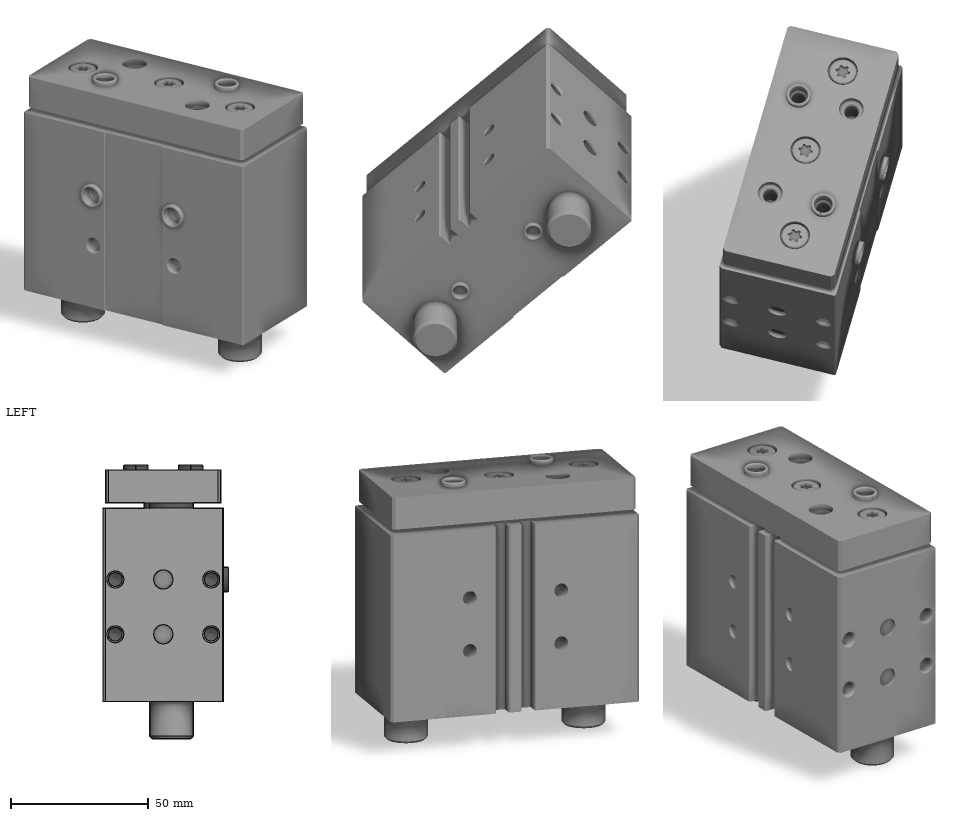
import cadquery as cq
import math

total_height = 99.8
sleeve_stand = 1.8
plate_thickness = 12.0
plate_gap = 2.0
housing_height = 70.5
plate_top = total_height - sleeve_stand
plate_bottom = plate_top - plate_thickness
housing_top = plate_bottom - plate_gap
housing_bottom = housing_top - housing_height

housing_width = 95.0
housing_depth = 44.0
front_face = -housing_depth / 2
back_face = housing_depth / 2
left_face = -housing_width / 2
front_corner = 0.5
back_corner = 1.0
front_recess_width = 24.6
front_recess_depth = 0.4
back_slot_width = 4.9
back_rib_width = 5.0
back_slot_depth = 5.0
slot_lip = 0.5

upper_row = housing_top - 25.9
row_pitch = 20.0
lower_row = upper_row - row_pitch
mount_x = 17.5
side_hole_y = 17.5
bottom_sleeve_x = 18.5
thread_diameter = 5.2
thread_mouth = 6.2
side_thread_diameter = 5.0
side_thread_depth = 12.0
drill_point_angle = 118.0
locating_diameter = 7.0
locating_depth = 1.6

plate_width = 93.0
plate_depth = 41.9
plate_corner = 1.0
guide_x = 33.9
guide_y = -3.0
guide_diameter = 16.0
guide_chamfer = 1.0
piston_y = 2.0
piston_diameter = 10.0
piston_flats = 9.0
piston_insertion = 10.0
guide_points = [(-guide_x, guide_y), (guide_x, guide_y)]
piston_point = (0, piston_y)

screw_bore = 11.0
screw_head = 9.8
screw_ring_depth = 2.0
screw_sink = 0.4
screw_head_chamfer = 0.4
socket_core = 4.0
socket_lobe = 1.2
socket_reach = 5.4
socket_depth = 1.5

sleeve_diameter = 9.0
sleeve_bore = 6.6
sleeve_seat = 2.1
small_sleeve_diameter = 7.0
small_sleeve_bore = 5.2
small_sleeve_stand = 1.5
small_sleeve_seat = locating_depth
sleeve_slit = 0.2
plate_hole_x = 20.0
plate_hole_y = 10.0
plate_holes = [(x, y) for x in (-plate_hole_x, plate_hole_x) for y in (-plate_hole_y, plate_hole_y)]
plate_sleeve_points = [(-plate_hole_x, -plate_hole_y), (plate_hole_x, plate_hole_y)]


def rod(diameter, length, base, direction):
    """Cylinder from a base point along a direction."""
    return cq.Workplane(cq.Solid.makeCylinder(diameter / 2, length, cq.Vector(*base), cq.Vector(*direction)))


def mouth(wide, narrow, base, direction):
    """45 degree countersink cutter that narrows along a direction."""
    depth = (wide - narrow) / 2
    return cq.Workplane(
        cq.Solid.makeCone(wide / 2, narrow / 2, depth, cq.Vector(*base), cq.Vector(*direction))
    )


def make_block():
    """Housing block with its vertical corners, front recess and two back slots."""
    block = cq.Workplane().box(housing_width, housing_depth, housing_height, centered=(True, True, False))
    block = block.edges("|Z and <Y").chamfer(front_corner)
    block = block.edges("|Z and >Y").chamfer(back_corner)
    half_recess = front_recess_width / 2
    recess = cq.Workplane().polyline([
        (-half_recess - front_recess_depth, front_face),
        (half_recess + front_recess_depth, front_face),
        (half_recess, front_face + front_recess_depth),
        (-half_recess, front_face + front_recess_depth),
    ]).close().extrude(housing_height)
    block = block.cut(recess)
    for side in (-1, 1):
        inner = back_rib_width / 2
        outer = inner + back_slot_width
        slot = cq.Workplane().polyline([
            (side * (inner - slot_lip), back_face),
            (side * inner, back_face - slot_lip),
            (side * inner, back_face - back_slot_depth),
            (side * outer, back_face - back_slot_depth),
            (side * outer, back_face - slot_lip),
            (side * (outer + slot_lip), back_face),
        ]).close().extrude(housing_height)
        block = block.cut(slot)
    return block.translate((0, 0, housing_bottom))


def front_holes():
    """Through holes from front to back; the upper pair also seats the front sleeves."""
    cutter = cq.Workplane()
    seat_floor = front_face + sleeve_seat
    for x in (-mount_x, mount_x):
        for z in (upper_row, lower_row):
            cutter = cutter.add(rod(thread_diameter, housing_depth, (x, front_face, z), (0, 1, 0)))
        cutter = cutter.add(rod(sleeve_diameter, sleeve_seat, (x, front_face, upper_row), (0, 1, 0)))
        cutter = cutter.add(mouth(thread_mouth, thread_diameter, (x, seat_floor, upper_row), (0, 1, 0)))
        cutter = cutter.add(mouth(thread_mouth, thread_diameter, (x, front_face, lower_row), (0, 1, 0)))
    return cutter


def side_holes():
    """Blind threaded holes and shallow locating holes in the left side."""
    cutter = cq.Workplane()
    inward = (1, 0, 0)
    point_length = side_thread_diameter / 2 / math.tan(math.radians(drill_point_angle / 2))
    drill_end = left_face + side_thread_depth
    for z in (upper_row, lower_row):
        for y in (-side_hole_y, side_hole_y):
            cutter = cutter.add(rod(side_thread_diameter, side_thread_depth, (left_face, y, z), inward))
            cutter = cutter.add(mouth(thread_mouth, side_thread_diameter, (left_face, y, z), inward))
            tip = cq.Solid.makeCone(
                side_thread_diameter / 2, 0, point_length, cq.Vector(drill_end, y, z), cq.Vector(*inward)
            )
            cutter = cutter.add(tip)
        cutter = cutter.add(rod(locating_diameter, locating_depth, (left_face, 0, z), inward))
    return cutter


def make_rods():
    """Two guide rods chamfered at the bottom and the piston rod with its wrench flats."""
    rods = cq.Workplane()
    for x, y in guide_points:
        guide = rod(guide_diameter, plate_bottom, (x, y, 0), (0, 0, 1)).faces("<Z").chamfer(guide_chamfer)
        rods = rods.add(guide)
    neck = rod(piston_diameter, plate_gap, (*piston_point, housing_top), (0, 0, 1))
    flats = cq.Workplane().box(piston_flats, piston_diameter, plate_gap, centered=(True, True, False))
    neck = neck.intersect(flats.translate((*piston_point, housing_top)))
    shank = rod(piston_diameter, piston_insertion, (*piston_point, housing_top - piston_insertion), (0, 0, 1))
    return rods.add(shank.union(neck))


def make_screw_recess():
    """Cutter that leaves a sunk screw head with a six-lobed socket, below a plate face at z = 0."""
    head_height = screw_ring_depth - screw_sink
    head = rod(screw_head, head_height, (0, 0, -screw_ring_depth), (0, 0, 1))
    head = head.faces(">Z").chamfer(screw_head_chamfer)
    recess = rod(screw_bore, screw_ring_depth, (0, 0, -screw_ring_depth), (0, 0, 1)).cut(head)
    socket_floor = -screw_sink - socket_depth
    socket = rod(socket_core, socket_depth, (0, 0, socket_floor), (0, 0, 1))
    lobe_radius = (socket_reach - socket_lobe) / 2
    for lobe in range(6):
        angle = math.radians(90 + 60 * lobe)
        base = (lobe_radius * math.cos(angle), lobe_radius * math.sin(angle), socket_floor)
        socket = socket.union(rod(socket_lobe, socket_depth, base, (0, 0, 1)))
    return recess.union(socket)


def make_yoke():
    """Moving yoke: plate with sleeve seats and screws, carrying the rods."""
    plate = cq.Workplane().box(plate_width, plate_depth, plate_thickness, centered=(True, True, False))
    plate = plate.edges("|Z").chamfer(plate_corner).translate((0, 0, plate_bottom))
    down = (0, 0, -1)
    for x, y in plate_holes:
        seat_floor = plate_top - sleeve_seat
        plate = plate.cut(rod(sleeve_diameter, sleeve_seat, (x, y, plate_top), down))
        plate = plate.cut(mouth(thread_mouth, thread_diameter, (x, y, seat_floor), down))
        plate = plate.cut(rod(thread_diameter, plate_thickness, (x, y, plate_top), down))
    screw_recess = make_screw_recess()
    for point in [*guide_points, piston_point]:
        plate = plate.cut(screw_recess.translate((*point, plate_top)))
    for part in make_rods().vals():
        plate = plate.union(cq.Workplane(part))
    return plate


def make_housing():
    """Housing with every hole, bored for the rods."""
    housing = make_block()
    for cutter in [*front_holes().vals(), *side_holes().vals()]:
        housing = housing.cut(cq.Workplane(cutter))
    for x, y in guide_points:
        housing = housing.cut(rod(guide_diameter, housing_height, (x, y, housing_bottom), (0, 0, 1)))
    housing = housing.cut(rod(piston_diameter, piston_insertion, (*piston_point, housing_top), (0, 0, -1)))
    for x in (-bottom_sleeve_x, bottom_sleeve_x):
        seat = rod(small_sleeve_diameter, small_sleeve_seat, (x, 0, housing_bottom), (0, 0, 1))
        housing = housing.cut(seat)
    return housing


def make_sleeve(diameter, bore, seat, stand):
    """Centring sleeve along Z, seated below z = 0, with a fully rounded rim and a slit toward -X."""
    outer = diameter / 2
    inner = bore / 2
    rim_radius = (outer - inner) / 2
    rim_start = stand - rim_radius
    section = cq.Workplane("XZ").moveTo(-inner, -seat).lineTo(-outer, -seat).lineTo(-outer, rim_start)
    section = section.threePointArc((rim_radius - outer, stand), (-inner, rim_start)).close()
    sleeve = section.revolve(360, (0, 0, 0), (0, 1, 0))
    slit = cq.Workplane().box(diameter, sleeve_slit, 2 * (seat + stand)).translate((-diameter / 2, 0, 0))
    return sleeve.cut(slit)


housing = make_housing()
yoke = make_yoke()

large_sleeve = make_sleeve(sleeve_diameter, sleeve_bore, sleeve_seat, sleeve_stand)
plate_sleeves = [large_sleeve.translate((x, y, plate_top)) for x, y in plate_sleeve_points]

front_sleeve = large_sleeve.rotate((0, 0, 0), (0, 0, 1), 90).rotate((0, 0, 0), (1, 0, 0), 90)
front_sleeves = [front_sleeve.translate((x, front_face, upper_row)) for x in (-mount_x, mount_x)]

small_sleeve = make_sleeve(small_sleeve_diameter, small_sleeve_bore, small_sleeve_seat, small_sleeve_stand)
bottom_sleeve = small_sleeve.rotate((0, 0, 0), (0, 1, 0), 180)
bottom_sleeves = [
    bottom_sleeve.translate((x, 0, housing_bottom)) for x in (-bottom_sleeve_x, bottom_sleeve_x)
]

sleeves = plate_sleeves + front_sleeves + bottom_sleeves
result = cq.Compound.makeCompound([housing.val(), yoke.val(), *[sleeve.val() for sleeve in sleeves]])